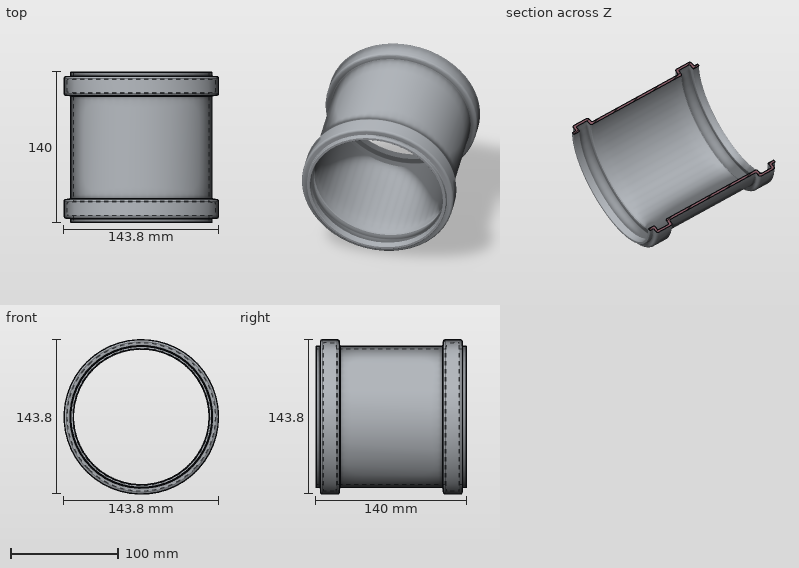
import cadquery as cq

length = 140.0
collar_diameter = 143.8
groove_diameter = 138.0
tube_diameter = 131.9
bore_diameter = 126.0
wall = (collar_diameter - groove_diameter) / 2

lip_length = 4.0
collar_width = 17.5
inner_side_slope = 0.5
collar_round = 2.0
groove_round = 0.7
outer_root_flare = 0.5
inner_root_flare = 0.6
end_chamfer = 0.5
groove_outer_flare = 0.5
groove_inner_flare = 0.9

half_length = length / 2
collar_outer_y = half_length - lip_length
collar_inner_y = collar_outer_y - collar_width
tube_radius = tube_diameter / 2
bore_radius = bore_diameter / 2


def lathe(points):
    """Revolve an (r, y) outline about the Y axis."""
    return cq.Workplane("XY").polyline(points).close().revolve(360, (0, 0, 0), (0, 1, 0))


def flared_disc(rim_radius, root_radius, outer_y, inner_y, rim_round, outer_flare, inner_flare):
    """Round-cornered disc with a leaning inboard side and conical flares at its root."""
    root_inner_y = inner_y - inner_side_slope
    disc = lathe([
        (0, outer_y),
        (rim_radius, outer_y),
        (rim_radius, inner_y),
        (root_radius, root_inner_y),
        (0, root_inner_y),
    ])
    rim_edges = cq.selectors.RadiusNthSelector(-1)
    disc = disc.edges("%CIRCLE").edges(rim_edges).fillet(rim_round)
    flare = lathe([
        (0, outer_y + outer_flare),
        (root_radius, outer_y + outer_flare),
        (root_radius + outer_flare, outer_y),
        (root_radius + inner_flare, root_inner_y),
        (root_radius, root_inner_y - inner_flare),
        (0, root_inner_y - inner_flare),
    ])
    return disc.union(flare)


def sleeve_blank():
    return cq.Workplane("XZ").circle(tube_radius).extrude(half_length, both=True).edges().chamfer(end_chamfer)


def through_bore():
    mouth_radius = bore_radius + end_chamfer
    mouth_y = half_length - end_chamfer
    return lathe([
        (0, -half_length),
        (mouth_radius, -half_length),
        (bore_radius, -mouth_y),
        (bore_radius, mouth_y),
        (mouth_radius, half_length),
        (0, half_length),
    ])


collar = flared_disc(
    collar_diameter / 2, tube_radius, collar_outer_y, collar_inner_y,
    collar_round, outer_root_flare, inner_root_flare,
)
gasket_groove = flared_disc(
    groove_diameter / 2, bore_radius, collar_outer_y - wall, collar_inner_y + wall,
    groove_round, groove_outer_flare, groove_inner_flare,
)

result = sleeve_blank().union(collar).union(collar.mirror("XZ"))
result = result.cut(through_bore()).cut(gasket_groove).cut(gasket_groove.mirror("XZ"))